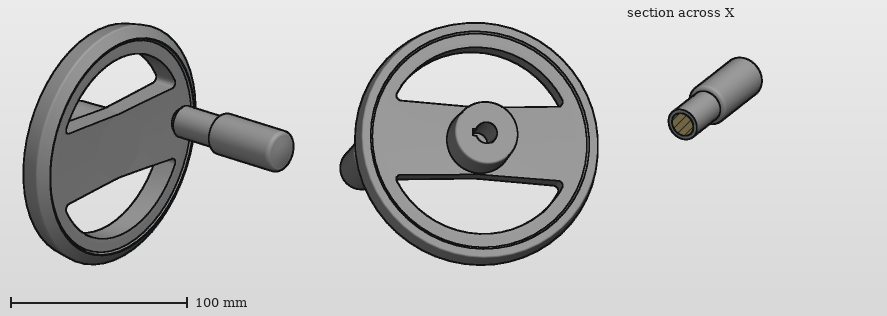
import cadquery as cq
import math

overall_length = 112.5

hub_face_radius = 16.9
hub_edge_round = 1.2
hub_base_radius = 18.7
bore_diameter = 12.2
bore_depth = 30.0
key_width = 3.8
key_top_radius = 7.9

rim_front = 20.3
rim_back = 36.7
rim_radius = 70.0
crest_radius = 1.5
crest_x = 31.5
front_taper = math.radians(10)
back_taper = math.radians(56)
rim_front_round = 1.1

recess_depth = 1.0
recess_outer_radius = 63.0
recess_inner_radius = 61.8
flat_ring_radius = 56.5
web_dish = 1.2
web_front = rim_front + recess_depth
web_back = rim_back - recess_depth

opening_radius = 54.0
opening_middle_height = 19.4
opening_edge_angle = math.radians(2.6)
opening_corner_radius = 2.8

handle_offset = 52.0
neck_diameter = 14.0
neck_end = 38.4
sleeve_diameter = 18.5
grip_start = 65.6
grip_diameter = 24.0
grip_round = 2.7
dome_height = 1.3


def revolve_about_x(profile):
    """Turn a closed (x, radius) outline about the X axis."""
    return profile.close().revolve(360, (0, 0, 0), (1, 0, 0))


def make_wheel_disc():
    """Rim and dished web, without openings."""
    crest_centre = rim_radius - crest_radius

    def crest_point(angle):
        """Point on the crest arc, at an angle from the radial direction."""
        return (
            crest_x + crest_radius * math.sin(angle),
            crest_centre + crest_radius * math.cos(angle),
        )

    crest_start = crest_point(-front_taper)
    crest_end = crest_point(back_taper)
    front_edge_radius = crest_start[1] - (crest_start[0] - rim_front) * math.tan(front_taper)
    back_edge_radius = crest_end[1] - (rim_back - crest_end[0]) * math.tan(back_taper)
    profile = (
        cq.Workplane("XY")
        .moveTo(web_front + web_dish, 0)
        .lineTo(web_front + web_dish, hub_base_radius)
        .lineTo(web_front, flat_ring_radius)
        .lineTo(web_front, recess_inner_radius)
        .lineTo(rim_front, recess_outer_radius)
        .lineTo(rim_front, front_edge_radius)
        .lineTo(*crest_start)
        .threePointArc((crest_x, rim_radius), crest_end)
        .lineTo(rim_back, back_edge_radius)
        .lineTo(rim_back, recess_outer_radius)
        .lineTo(web_back, recess_inner_radius)
        .lineTo(web_back, flat_ring_radius)
        .lineTo(web_back - web_dish, hub_base_radius)
        .lineTo(web_back - web_dish, 0)
    )
    disc = revolve_about_x(profile)
    front_edge = cq.selectors.RadiusNthSelector(-1)
    return disc.faces("<X").edges(front_edge).fillet(rim_front_round)


def make_opening(side):
    """Segment-shaped cutter above (side = 1) or below (side = -1) the hub."""
    meeting_angle = opening_edge_angle + math.asin(
        opening_middle_height * math.cos(opening_edge_angle) / opening_radius
    )
    corner_y = opening_radius * math.cos(meeting_angle)
    corner_z = side * opening_radius * math.sin(meeting_angle)
    cutter = (
        cq.Workplane("YZ")
        .moveTo(0, side * opening_middle_height)
        .lineTo(corner_y, corner_z)
        .threePointArc((0, side * opening_radius), (-corner_y, corner_z))
        .close()
        .extrude(rim_back)
    )
    corners = cutter.edges("|X").edges("<Y or >Y")
    return corners.fillet(opening_corner_radius)


def make_hub():
    """Tapered boss with a rounded front edge."""
    profile = (
        cq.Workplane("XY")
        .lineTo(0, hub_face_radius + hub_edge_round)
        .lineTo(web_front + web_dish, hub_base_radius)
        .lineTo(web_front + web_dish, 0)
    )
    return revolve_about_x(profile).faces("<X").edges().fillet(hub_edge_round)


def make_bore():
    """Blind bore with a keyway on the +Y side."""
    bore = cq.Workplane("YZ").circle(bore_diameter / 2).extrude(bore_depth)
    keyway = (
        cq.Workplane("YZ")
        .center(key_top_radius / 2, 0)
        .rect(key_top_radius, key_width)
        .extrude(bore_depth)
    )
    return bore.union(keyway)


def make_handle():
    """Stepped handle with a rounded, domed grip."""
    foot = web_back - web_dish
    grip_radius = grip_diameter / 2
    grip_end = overall_length - dome_height
    neck = cq.Workplane("YZ", origin=(foot, 0, 0)).circle(neck_diameter / 2).extrude(neck_end - foot)
    sleeve = (
        cq.Workplane("YZ", origin=(neck_end, 0, 0))
        .circle(sleeve_diameter / 2)
        .extrude(grip_start - neck_end)
    )
    arc_offset = grip_round * math.sqrt(0.5)
    front_round_x = grip_start + grip_round
    end_round_x = grip_end - grip_round
    round_centre = grip_radius - grip_round
    dome_radius = (round_centre**2 + dome_height**2) / (2 * dome_height)
    dome_mid_radius = round_centre / 2
    dome_mid_x = overall_length - dome_radius + math.sqrt(dome_radius**2 - dome_mid_radius**2)
    grip = revolve_about_x(
        cq.Workplane("XY")
        .moveTo(grip_start, 0)
        .lineTo(grip_start, round_centre)
        .threePointArc((front_round_x - arc_offset, round_centre + arc_offset), (front_round_x, grip_radius))
        .lineTo(end_round_x, grip_radius)
        .threePointArc((end_round_x + arc_offset, round_centre + arc_offset), (grip_end, round_centre))
        .threePointArc((dome_mid_x, dome_mid_radius), (overall_length, 0))
    )
    return neck.union(sleeve).union(grip).translate((0, handle_offset, 0))


result = make_wheel_disc()
for opening_side in (1, -1):
    result = result.cut(make_opening(opening_side))
result = result.union(make_hub()).cut(make_bore()).union(make_handle())